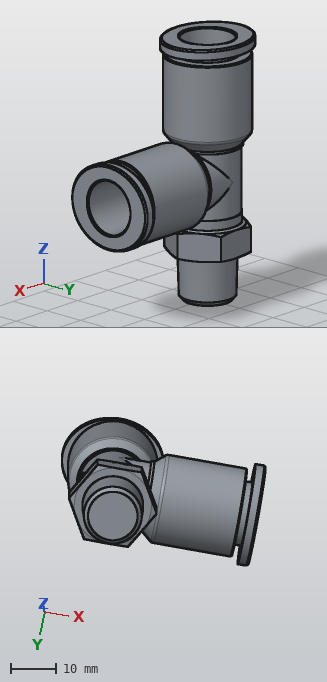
import cadquery as cq
import math


port_reach = 32.2
flange_thickness = 2.3
flange_length = 22.5
flange_width = 19.6
flange_chamfer = 0.4
collar_radius = 7.1
shell_end = 28.25
shell_radius = 9.85
shell_chamfer = 0.25
shoulder_end = 10.38
shoulder_start = 7.57
shoulder_setback = 0.4
neck_radius = 7.5
neck_end = shoulder_start - shoulder_setback
bore_radius = 6.2
bore_chamfer = 0.3
bore_floor = shoulder_end

overall_height = 60.65
neck_bottom = -8.15
sleeve_radius = 7.62
sleeve_flare_width = 0.75
sleeve_flare_height = 0.45
hex_top = -10.84
hex_bottom = -17.35
hex_across_flats = 17.0
hex_across_corners = hex_across_flats / math.cos(math.radians(30))
hex_face_radius = hex_across_flats / 2
hex_top_bevel_angle = 19
hex_bottom_bevel_angle = 15

thread_bottom = port_reach - overall_height
thread_top_radius = 6.7
thread_taper = 1 / 32
thread_chamfer_height = 1.1
thread_end_radius = 5.45

recess_depth = 0.48
recess_height = 2.95
recess_center = -0.4


def turn(profile):
    """Revolve a closed radius-height profile about the Z axis."""
    return profile.close().revolve(360, (0, 0, 0), (0, 1, 0))


def make_port_shell():
    """Sloping shoulder with rounded corners, and shell, turned about +Z."""
    slope = math.atan2(shell_radius - neck_radius, shoulder_end - shoulder_start)
    radial_setback = shoulder_setback * math.sin(slope)
    axial_setback = shoulder_setback * math.cos(slope)
    return turn(
        cq.Workplane("XZ")
        .moveTo(0, neck_end)
        .lineTo(neck_radius, neck_end)
        .tangentArcPoint((neck_radius + radial_setback, shoulder_start + axial_setback), relative=False)
        .lineTo(shell_radius - radial_setback, shoulder_end - axial_setback)
        .tangentArcPoint((shell_radius, shoulder_end + shoulder_setback), relative=False)
        .lineTo(shell_radius, shell_end - shell_chamfer)
        .lineTo(shell_radius - shell_chamfer, shell_end)
        .lineTo(0, shell_end)
    )


def make_release_collar():
    """Round collar carrying an oval flange whose long axis lies along X."""
    flange_base = port_reach - flange_thickness
    flange = (
        cq.Workplane("XY")
        .workplane(offset=flange_base)
        .ellipse(flange_length / 2, flange_width / 2)
        .extrude(flange_thickness)
        .faces(">Z")
        .edges()
        .chamfer(flange_chamfer)
    )
    collar = (
        cq.Workplane("XY")
        .workplane(offset=shell_end)
        .circle(collar_radius)
        .extrude(flange_base - shell_end)
    )
    return collar.union(flange)


def make_port_bore():
    """Blind tube hole with a chamfered mouth."""
    return turn(
        cq.Workplane("XZ")
        .moveTo(0, bore_floor)
        .lineTo(bore_radius, bore_floor)
        .lineTo(bore_radius, port_reach - bore_chamfer)
        .lineTo(bore_radius + bore_chamfer, port_reach)
        .lineTo(0, port_reach)
    )


def lay_along_branch(shape):
    """Turn an upright port part onto +X, with the flange's long axis along Y."""
    return shape.rotate((0, 0, 0), (0, 0, 1), 90).rotate((0, 0, 0), (0, 1, 0), 90)


def make_neck_and_sleeve():
    """Upright neck and the slightly wider sleeve that flares out onto the hex."""
    flare_arc_radius = (sleeve_flare_width**2 + sleeve_flare_height**2) / (2 * sleeve_flare_height)
    return turn(
        cq.Workplane("XZ")
        .moveTo(0, neck_end)
        .lineTo(neck_radius, neck_end)
        .lineTo(neck_radius, neck_bottom)
        .lineTo(sleeve_radius, neck_bottom)
        .lineTo(sleeve_radius, hex_top + sleeve_flare_height)
        .radiusArc((sleeve_radius + sleeve_flare_width, hex_top), -flare_arc_radius)
        .lineTo(0, hex_top)
    )


def make_hex():
    """Hexagon with two corners on the X axis, bevelled at both ends."""
    corner_radius = hex_across_corners / 2
    bevel_width = corner_radius - hex_face_radius
    top_drop = bevel_width * math.tan(math.radians(hex_top_bevel_angle))
    bottom_drop = bevel_width * math.tan(math.radians(hex_bottom_bevel_angle))
    prism = (
        cq.Workplane("XY")
        .workplane(offset=hex_bottom)
        .polygon(6, hex_across_corners)
        .extrude(hex_top - hex_bottom)
    )
    bevel_envelope = turn(
        cq.Workplane("XZ")
        .moveTo(0, hex_bottom)
        .lineTo(hex_face_radius, hex_bottom)
        .lineTo(corner_radius, hex_bottom + bottom_drop)
        .lineTo(corner_radius, hex_top - top_drop)
        .lineTo(hex_face_radius, hex_top)
        .lineTo(0, hex_top)
    )
    return prism.intersect(bevel_envelope)


def make_thread():
    """Tapered thread cone with a chamfered lower end."""
    chamfer_top = thread_bottom + thread_chamfer_height
    thread_low_radius = thread_top_radius - thread_taper * (hex_bottom - chamfer_top)
    return turn(
        cq.Workplane("XZ")
        .moveTo(0, hex_bottom)
        .lineTo(thread_top_radius, hex_bottom)
        .lineTo(thread_low_radius, chamfer_top)
        .lineTo(thread_end_radius, thread_bottom)
        .lineTo(0, thread_bottom)
    )


def make_recess():
    """Cutter for the flat recess; its upper and lower walls slope outward at 45 degrees."""
    floor_x = recess_depth - neck_radius
    half_height = recess_height / 2
    return (
        cq.Workplane("XZ")
        .moveTo(floor_x, recess_center - half_height)
        .lineTo(floor_x, recess_center + half_height)
        .lineTo(-neck_radius, recess_center + half_height + recess_depth)
        .lineTo(-neck_radius, recess_center - half_height - recess_depth)
        .close()
        .extrude(neck_radius, both=True)
    )


branch_neck = cq.Workplane("YZ").circle(neck_radius).extrude(neck_end)
port = make_port_shell().union(make_release_collar())
stem = make_neck_and_sleeve().union(make_hex()).union(make_thread())
upright = port.union(stem)
branch = lay_along_branch(port).union(branch_neck)
solid_tee = upright.union(branch)

bore = make_port_bore()
result = solid_tee.cut(bore).cut(lay_along_branch(bore)).cut(make_recess())